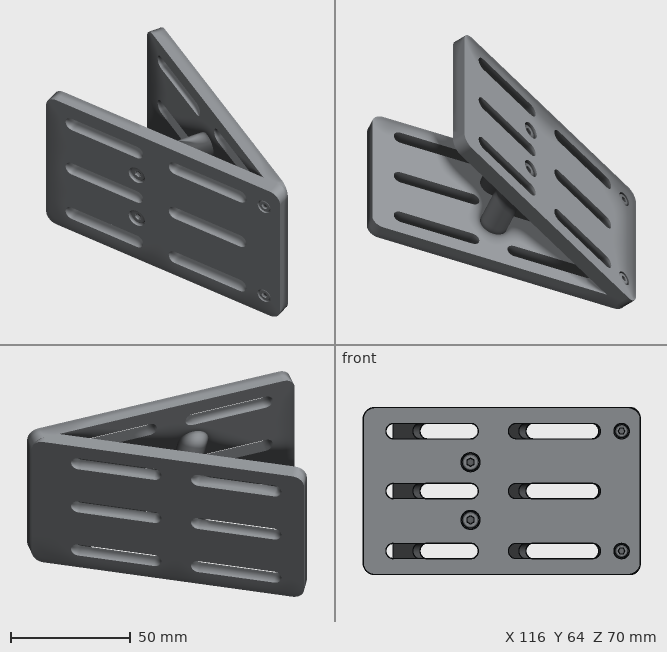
import cadquery as cq
import math

plate_length = 116.0
plate_thickness = 6.0
plate_height = 70.0
corner_radius = 5.0
tilt_angle = 30.0

slot_width = 6.4
slot_length = 38.5
slot_gap = 12.6
slot_left_margin = 9.6
slot_row_pitch = 25.0
left_slot_x = slot_left_margin + slot_length / 2
right_slot_x = left_slot_x + slot_length + slot_gap
slot_rows = (-slot_row_pitch, 0, slot_row_pitch)

post_diameter = 12.0
post_spacing = 24.1
post_rows = (-post_spacing / 2, post_spacing / 2)
post_reach = plate_length - (left_slot_x + right_slot_x) / 2
post_foot_x = plate_length - post_reach / math.cos(math.radians(tilt_angle))
post_length = post_reach * math.tan(math.radians(tilt_angle)) - plate_thickness

socket_turn_upright = 90.0
socket_turn_flat = 0.0

post_head_diameter = 7.0
post_head_height = 4.0
post_head_recess = 1.0
post_head_fillet = 0.5
post_bore_diameter = 8.0
post_socket_flats = 3.0
post_socket_depth = 2.0
post_shank_diameter = 4.0
post_shank_depth = 6.0

hinge_screw_x = 108.1
hinge_rows = (-slot_row_pitch, slot_row_pitch)
hinge_head_diameter = 5.5
hinge_head_height = 3.0
hinge_head_recess = 0.2
hinge_head_fillet = 0.5
hinge_bore_diameter = 6.5
hinge_socket_flats = 2.4
hinge_socket_depth = 1.3
hinge_shank_diameter = 3.0
hinge_shank_depth = 3.0


def cylinder_along_y(diameter, x, z, y_start, y_end):
    """Round bar parallel to Y between two Y positions."""
    start = cq.Vector(x, y_start, z)
    return cq.Workplane(cq.Solid.makeCylinder(diameter / 2, y_end - y_start, start, cq.Vector(0, 1, 0)))


def slotted_plate():
    """Rounded plate with its front face on Y = 0 and six through slots."""
    plate = (
        cq.Workplane("XY")
        .box(plate_length, plate_thickness, plate_height, centered=(False, False, True))
        .edges("|Y")
        .fillet(corner_radius)
    )
    slot_centres = [(x, z) for x in (left_slot_x, right_slot_x) for z in slot_rows]
    slots = (
        cq.Workplane("XZ")
        .pushPoints(slot_centres)
        .slot2D(slot_length, slot_width)
        .extrude(-plate_thickness)
    )
    return plate.cut(slots)


def lean(body):
    """Turn a body about the right-hand edge of the base plate's rear face."""
    pivot = (plate_length, plate_thickness, 0)
    pivot_top = (plate_length, plate_thickness, 1)
    return body.rotate(pivot, pivot_top, -tilt_angle)


def behind_base(body):
    """Keep only what lies behind the base plate's rear face."""
    room = cq.Workplane("XY").box(
        2 * plate_length, plate_length, 2 * plate_height, centered=(True, False, True)
    )
    return body.intersect(room.translate((plate_length / 2, plate_thickness, 0)))


def post(z):
    """Round post, square at the tilted plate and cut obliquely at the base plate."""
    overrun = post_diameter
    bar_start = -post_length - overrun
    bar = cylinder_along_y(post_diameter, plate_length - post_reach, z, bar_start, 0)
    return behind_base(lean(bar))


def socket_screw(
    x, z, recess, head_diameter, head_height, head_fillet,
    socket_flats, socket_depth, socket_turn, shank_diameter, shank_depth,
):
    """Cap screw along +Y with a rounded head rim and a hexagonal socket."""
    head_bottom = recess + head_height
    head = cylinder_along_y(head_diameter, x, z, recess, head_bottom)
    head = head.faces("<Y").edges().fillet(head_fillet)
    shank = cylinder_along_y(shank_diameter, x, z, head_bottom, plate_thickness + shank_depth)
    socket_corners = socket_flats / math.cos(math.pi / 6)
    socket = (
        cq.Workplane("XZ")
        .transformed(rotate=(0, 0, socket_turn))
        .polygon(6, socket_corners)
        .extrude(-socket_depth)
        .translate((x, recess, z))
    )
    return head.union(shank).cut(socket)


def post_screw(z):
    """Screw holding the foot of one post."""
    return socket_screw(
        post_foot_x, z, post_head_recess, post_head_diameter, post_head_height, post_head_fillet,
        post_socket_flats, post_socket_depth, socket_turn_upright, post_shank_diameter, post_shank_depth,
    )


def hinge_screw(z):
    """Screw holding the thin end of the tilted plate."""
    return socket_screw(
        hinge_screw_x, z, hinge_head_recess, hinge_head_diameter, hinge_head_height, hinge_head_fillet,
        hinge_socket_flats, hinge_socket_depth, socket_turn_flat, hinge_shank_diameter, hinge_shank_depth,
    )


base_plate = slotted_plate()
tilted_plate = behind_base(lean(slotted_plate()))

posts = []
post_screws = []
for row in post_rows:
    screw = post_screw(row)
    bore_depth = post_head_recess + post_head_height
    bore = cylinder_along_y(post_bore_diameter, post_foot_x, row, 0, bore_depth)
    base_plate = base_plate.cut(bore).cut(screw)
    posts.append(post(row).cut(screw))
    post_screws.append(screw)

hinge_screws = []
for row in hinge_rows:
    screw = hinge_screw(row)
    bore_depth = hinge_head_recess + hinge_head_height
    bore = cylinder_along_y(hinge_bore_diameter, hinge_screw_x, row, 0, bore_depth)
    base_plate = base_plate.cut(bore).cut(screw)
    tilted_plate = tilted_plate.cut(screw)
    hinge_screws.append(screw)

bodies = [base_plate, tilted_plate, *posts, *post_screws, *hinge_screws]
result = cq.Compound.makeCompound([body.val() for body in bodies])